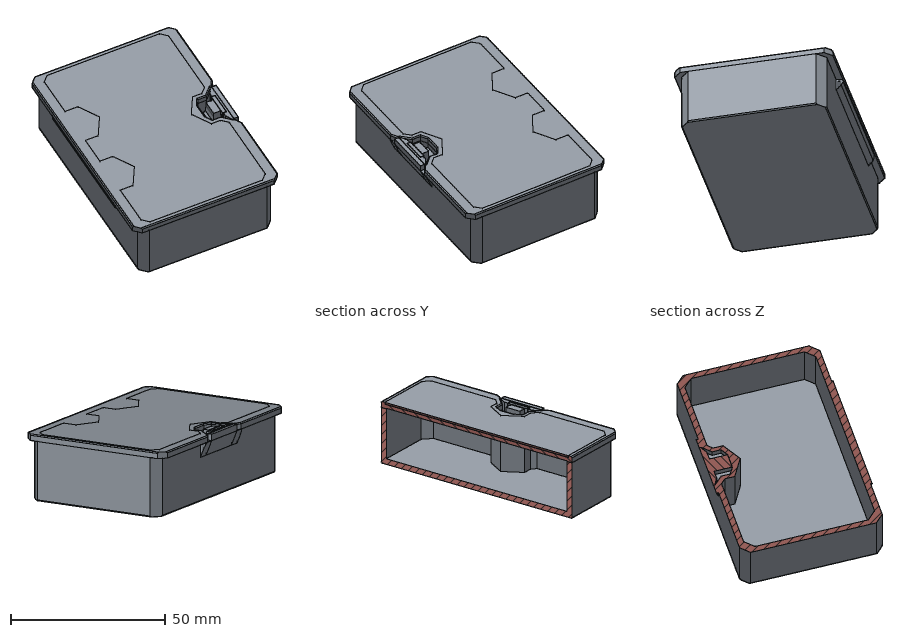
import cadquery as cq
import math

length = 76.5
lid_depth = 52.8
total_height = 22.0
lid_thickness = 2.15
lid_corner = 2.4
edge_bevel = 0.4

rim_overhang = 2.15
box_depth = lid_depth - 2 * rim_overhang
box_corner = 2.9
wall = 2.15
box_height = total_height - lid_thickness
back_wall_y = box_depth / 2
lid_edge_y = lid_depth / 2

bar_round = 1.1
front_bar_half_length = 22.25
front_bar_lip = 0.7
front_bar_undercut_top = 2.2
front_bar_undercut_set_back = 0.5
front_bar_height = 4.0
end_groove_depth = 0.1
end_groove_width = 0.8
end_groove_y = -25.2
back_bar_height = 5.1

slope = math.tan(math.radians(30))
opening_half_width = 5.1
opening_front_y = 17.0
opening_front_half_width = 2.75
opening_side_start_y = opening_front_y + (opening_half_width - opening_front_half_width) * slope
opening_side_end_y = 21.4
mouth_half_width = 8.1
mouth_y = opening_side_end_y + mouth_half_width - opening_half_width
flare_start_y = 25.0
flare_half_width = mouth_half_width + (lid_edge_y - flare_start_y) / slope
back_bar_half_length = flare_half_width + bar_round

inlay_thickness = 0.6
inlay_half_length = 36.7
inlay_half_depth = 22.65
inlay_corner = 2.15
latch_border_half_width = 6.7
latch_border_peak_y = 13.3
latch_border_low_y = latch_border_peak_y + latch_border_half_width * slope
latch_border_high_y = 20.6
latch_border_top_half_width = latch_border_half_width + inlay_half_depth - latch_border_high_y
tab_offset = 12.5
tab_half_width = 7.3
tab_peak_y = -13.8
tab_shoulder_y = tab_peak_y - tab_half_width * slope

latch_floor = box_height - back_bar_height
grip_half_width = 7.95
pocket_mouth_y = opening_side_end_y + grip_half_width - opening_half_width
grip_front_y = 24.8
plate_front_y = 22.95
plate_half_width = 5.5
plate_drop = 0.15
pad_half_width = 4.05
pad_front_y = 22.65
pad_back_y = 24.0
arm_half_width = opening_front_half_width
arm_drop = 0.2
arm_front_y = 20.05
arm_face_height = 1.75
shank_base_y = 19.8
shank_base_drop = 4.0
dish_middle_y = 19.5
dish_middle_drop = 4.3
valley_y = 19.0
valley_drop = 4.5
crest_y = 17.5
crest_drop = 3.8
tip_drop = 3.9


def mirrored(points):
    """Close an outline by mirroring its +X half to -X."""
    return points + [(-x, y) for x, y in reversed(points) if x > 0]


def prism(points, bottom, top):
    return cq.Workplane("XY").workplane(offset=bottom).polyline(points).close().extrude(top - bottom)


def block(half_width, front, back, bottom, top):
    outline = mirrored([(half_width, front), (half_width, back)])
    return prism(outline, bottom, top)


def cut_cornered(width, depth, corner, bottom, top):
    """Upright block with flat-cut vertical corners."""
    body = cq.Workplane("XY").workplane(offset=bottom).rect(width, depth).extrude(top - bottom)
    return body.edges("|Z").chamfer(corner)


def profile_along_x(points, half_length):
    start = cq.Workplane("YZ").workplane(offset=-half_length)
    return start.polyline(points).close().extrude(2 * half_length)


def latch_border():
    """Half outline around the latch opening, from its peak to the inlay edge."""
    return [
        (latch_border_top_half_width, inlay_half_depth),
        (latch_border_half_width, latch_border_high_y),
        (latch_border_half_width, latch_border_low_y),
        (0, latch_border_peak_y),
    ]


def opening_half_outline():
    return [
        (opening_front_half_width, opening_front_y),
        (opening_half_width, opening_side_start_y),
        (opening_half_width, opening_side_end_y),
    ]


def make_front_bar():
    """Lip under the front edge of the lid, tapered below and rounded at its ends."""
    bar = profile_along_x(
        [
            (-back_wall_y, box_height),
            (-lid_edge_y, box_height),
            (-lid_edge_y, box_height - front_bar_lip),
            (front_bar_undercut_set_back - lid_edge_y, box_height - front_bar_undercut_top),
            (-back_wall_y, box_height - front_bar_height),
        ],
        front_bar_half_length,
    )
    rounded = block(front_bar_half_length, -lid_edge_y, -back_wall_y, 0, box_height)
    bar = bar.intersect(rounded.edges("|Z and <Y").fillet(bar_round))
    groove_height = front_bar_height - front_bar_lip
    for side in (-1, 1):
        groove = cq.Workplane("XY").box(2 * end_groove_depth, end_groove_width, groove_height)
        groove_z = box_height - front_bar_lip - groove_height / 2
        bar = bar.cut(groove.translate((side * front_bar_half_length, end_groove_y, groove_z)))
    return bar


def back_wedge(half_length):
    """Wedge on the back wall, widest under the lid."""
    return profile_along_x(
        [
            (back_wall_y, box_height),
            (lid_edge_y, box_height),
            (back_wall_y, latch_floor),
        ],
        half_length,
    )


def make_back_bar():
    rounded = block(back_bar_half_length, back_wall_y, lid_edge_y, 0, box_height)
    return back_wedge(back_bar_half_length).intersect(rounded.edges("|Z and >Y").fillet(bar_round))


def make_box():
    shell = cq.Workplane("XY").rect(length, box_depth).extrude(box_height)
    shell = shell.faces("<Z").chamfer(edge_bevel)
    shell = shell.intersect(cut_cornered(length, box_depth, box_corner, 0, box_height))

    inner_length = length - 2 * wall
    inner_depth = box_depth - 2 * wall
    cavity = cut_cornered(inner_length, inner_depth, box_corner, wall, box_height)
    latch_housing = prism(mirrored(latch_border()), wall, box_height)
    shell = shell.cut(cavity.cut(latch_housing))

    pocket_outline = opening_half_outline() + [
        (grip_half_width, pocket_mouth_y),
        (grip_half_width, lid_edge_y),
    ]
    pocket = prism(mirrored(pocket_outline), latch_floor, box_height)
    return shell.union(make_front_bar()).union(make_back_bar()).cut(pocket)


def make_inlay():
    """Flush top panel with two pointed notches in front and the latch border behind."""
    panel = cut_cornered(
        2 * inlay_half_length,
        2 * inlay_half_depth,
        inlay_corner,
        total_height - inlay_thickness,
        total_height,
    )
    panel = panel.cut(prism(mirrored(latch_border()), box_height, total_height))
    for center in (-tab_offset, tab_offset):
        tab = [
            (center - tab_half_width, -inlay_half_depth),
            (center - tab_half_width, tab_shoulder_y),
            (center, tab_peak_y),
            (center + tab_half_width, tab_shoulder_y),
            (center + tab_half_width, -inlay_half_depth),
        ]
        panel = panel.cut(prism(tab, box_height, total_height))
    return panel


def make_lid(inlay):
    plate = cq.Workplane("XY").workplane(offset=box_height).rect(length, lid_depth).extrude(lid_thickness)
    opening = opening_half_outline() + [
        (mouth_half_width, mouth_y),
        (mouth_half_width, flare_start_y),
        (flare_half_width, lid_edge_y),
    ]
    plate = plate.cut(prism(mirrored(opening), box_height, total_height))
    plate = plate.faces(">Z").chamfer(edge_bevel)
    plate = plate.intersect(cut_cornered(length, lid_depth, lid_corner, box_height, total_height))
    return plate.cut(inlay)


def latch_arm():
    """Arm reaching forward from the grip, with a dish and a low crest at its foot."""
    arm_top = total_height - arm_drop
    level = (-1, 0)
    crest = (crest_y, total_height - crest_drop)
    tip = (opening_front_y, total_height - tip_drop)
    return (
        cq.Workplane("YZ")
        .workplane(offset=-arm_half_width)
        .moveTo(plate_front_y, arm_top)
        .lineTo(arm_front_y, arm_top)
        .lineTo(arm_front_y, arm_top - arm_face_height)
        .lineTo(shank_base_y, total_height - shank_base_drop)
        .threePointArc(
            (dish_middle_y, total_height - dish_middle_drop),
            (valley_y, total_height - valley_drop),
        )
        .spline([crest, tip], tangents=[level, level], includeCurrent=True)
        .lineTo(opening_front_y, latch_floor)
        .lineTo(plate_front_y, latch_floor)
        .close()
        .extrude(2 * arm_half_width)
    )


def make_latch():
    plate_outline = [
        (plate_half_width, plate_front_y),
        (grip_half_width, pocket_mouth_y),
        (grip_half_width, lid_edge_y),
    ]
    plate_top = total_height - plate_drop
    plate = prism(mirrored(plate_outline), latch_floor, plate_top)
    below_lid = block(grip_half_width, opening_front_y, back_wall_y, latch_floor, box_height)
    below_lid = below_lid.union(back_wedge(grip_half_width))
    beside_lid = block(grip_half_width, opening_front_y, lid_edge_y, box_height, plate_top)
    plate = plate.intersect(below_lid.union(beside_lid))

    grip = block(grip_half_width, grip_front_y, lid_edge_y, box_height, total_height)
    pad = block(pad_half_width, pad_front_y, pad_back_y, box_height, total_height)
    return plate.union(grip).union(pad).union(latch_arm())


box = make_box()
inlay = make_inlay()
lid = make_lid(inlay)
latch = make_latch()

result = cq.Compound.makeCompound([body.solids().val() for body in (box, lid, inlay, latch)])